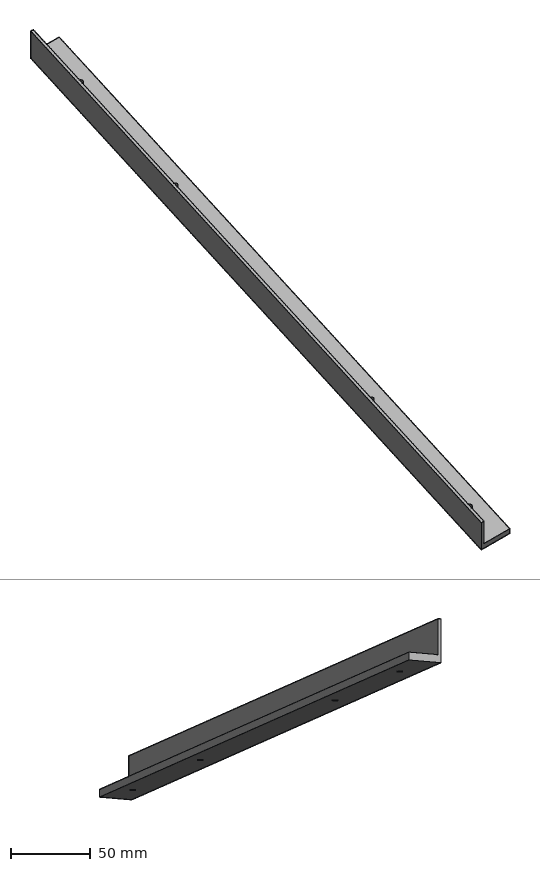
import cadquery as cq

length = 479.0
depth = 22.0
height = 27.99

flange_thickness = 5.0
web_thickness = 2.0

hole_diameter = 3.5
hole_distances_from_left = (36.5, 137.0, 345.5, 450.0)
hole_distance_from_front = 12.0


def make_angle():
    """L-shaped section run along X, centred on X and Y, with its base at Z = 0."""
    front = -depth / 2
    back = depth / 2
    section = [
        (front, 0),
        (back, 0),
        (back, flange_thickness),
        (front + web_thickness, flange_thickness),
        (front + web_thickness, height),
        (front, height),
    ]
    return cq.Workplane("YZ").polyline(section).close().extrude(length / 2, both=True)


def make_hole_cutters():
    """Vertical cylinders that pass through the flange at each screw position."""
    hole_y = hole_distance_from_front - depth / 2
    centres = [(distance - length / 2, hole_y) for distance in hole_distances_from_left]
    return cq.Workplane("XY").pushPoints(centres).circle(hole_diameter / 2).extrude(flange_thickness)


result = make_angle().cut(make_hole_cutters())